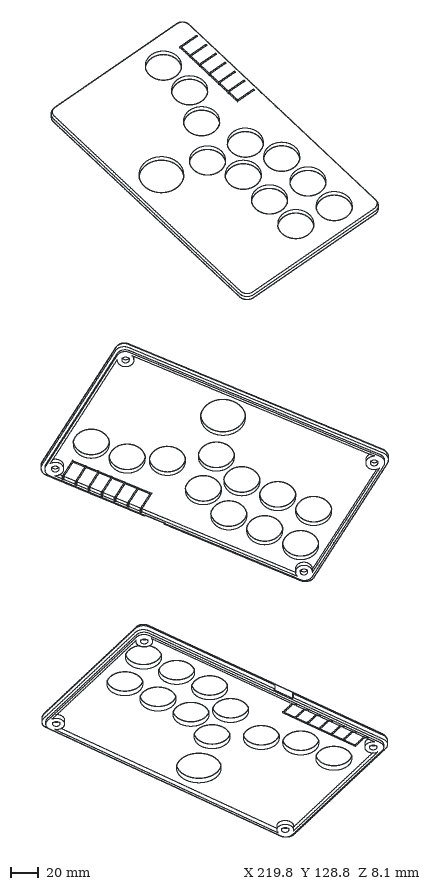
import cadquery as cq

LENGTH = 219.8
WIDTH = 128.8
HEIGHT = 8.1
CORNER_RADIUS = 7.0

LIP_HEIGHT = 2.2
LIP_INSET = 2.2
LIP_CORNER_RADIUS = 6.4
WALL = 1.8

BEVEL_HEIGHT = 2.2
BEVEL_INSET = 0.99

TOP_THICKNESS = 4.5
CAVITY_DEPTH = HEIGHT - TOP_THICKNESS

BUTTON_DIAMETER = 26.0
THUMB_DIAMETER = 32.0
BUTTON_PITCH = 29.0
UPPER_ROW_START = (30.5, 37.1)
LOWER_ROW_START = (24.8, 5.7)
ROW_COUNT = 3
LEFT_PAIR_START = (-86.5, 25.5)
LEFT_PAIR_COUNT = 2
SINGLE_BUTTONS = [(-31.0, 14.0), (4.0, 25.5), (-1.5, -5.5)]
THUMB_CENTER = (-13.5, -39.0)

TAB_COUNT = 6
COMB_LENGTH = 63.0
TAB_PITCH = COMB_LENGTH / TAB_COUNT
SLOT_WIDTH = 1.0
SLOT_FRONT_Y = 45.0
SLOT_BACK_Y = 61.0
COMB_LEFT_X = -91.2

RECESS_CENTER_X = -15.5
RECESS_WIDTH = 16.0
RECESS_DEPTH = 1.0

POST_DIAMETER = 12.0
POST_HOLE_DIAMETER = 5.3
POST_INSET = 9.5


def rounded_block(inset, radius, bottom_z, height):
    """Rounded rectangle, inset from the outer sides, standing on bottom_z."""
    return (
        cq.Workplane("XY")
        .workplane(offset=bottom_z)
        .rect(LENGTH - 2 * inset, WIDTH - 2 * inset)
        .extrude(height)
        .edges("|Z")
        .fillet(radius)
    )


def box_between(x_range, y_range, z_range):
    """Box spanning the given (low, high) ranges."""
    sizes = [high - low for low, high in (x_range, y_range, z_range)]
    corner = (x_range[0], y_range[0], z_range[0])
    return cq.Workplane("XY").box(*sizes, centered=False).translate(corner)


def row_of_points(start, count):
    """Points spaced along X at the button pitch, the first one at start."""
    return [(start[0] + i * BUTTON_PITCH, start[1]) for i in range(count)]


def through_holes(points, diameter):
    return cq.Workplane("XY").pushPoints(points).circle(diameter / 2).extrude(HEIGHT)


def make_shell():
    plate = rounded_block(0, CORNER_RADIUS, LIP_HEIGHT, HEIGHT - LIP_HEIGHT)
    plate = plate.faces(">Z").chamfer(BEVEL_HEIGHT, BEVEL_INSET)
    lip = rounded_block(LIP_INSET, LIP_CORNER_RADIUS, 0, LIP_HEIGHT)
    cavity = rounded_block(LIP_INSET + WALL, LIP_CORNER_RADIUS - WALL, 0, CAVITY_DEPTH)
    return plate.union(lip).cut(cavity)


def corner_cylinders(diameter):
    """Four cylinders at the post positions, as tall as the hollow is deep."""
    return (
        cq.Workplane("XY")
        .rect(LENGTH - 2 * POST_INSET, WIDTH - 2 * POST_INSET, forConstruction=True)
        .vertices()
        .circle(diameter / 2)
        .extrude(CAVITY_DEPTH)
    )


def make_tab_slots():
    half_slot = SLOT_WIDTH / 2
    comb_right_x = COMB_LEFT_X + COMB_LENGTH
    slots = box_between(
        (COMB_LEFT_X - half_slot, comb_right_x + half_slot),
        (SLOT_FRONT_Y, SLOT_FRONT_Y + SLOT_WIDTH),
        (0, HEIGHT),
    )
    for i in range(TAB_COUNT + 1):
        x = COMB_LEFT_X + i * TAB_PITCH
        tooth = box_between((x - half_slot, x + half_slot), (SLOT_FRONT_Y, SLOT_BACK_Y), (0, HEIGHT))
        slots = slots.union(tooth)
    return slots


def make_back_recess():
    half_width = RECESS_WIDTH / 2
    back_y = WIDTH / 2
    return box_between(
        (RECESS_CENTER_X - half_width, RECESS_CENTER_X + half_width),
        (back_y - RECESS_DEPTH, back_y),
        (0, HEIGHT),
    )


buttons = (
    row_of_points(UPPER_ROW_START, ROW_COUNT)
    + row_of_points(LOWER_ROW_START, ROW_COUNT)
    + row_of_points(LEFT_PAIR_START, LEFT_PAIR_COUNT)
    + SINGLE_BUTTONS
)

result = (
    make_shell()
    .union(corner_cylinders(POST_DIAMETER))
    .cut(corner_cylinders(POST_HOLE_DIAMETER))
    .cut(through_holes(buttons, BUTTON_DIAMETER))
    .cut(through_holes([THUMB_CENTER], THUMB_DIAMETER))
    .cut(make_tab_slots())
    .cut(make_back_recess())
)